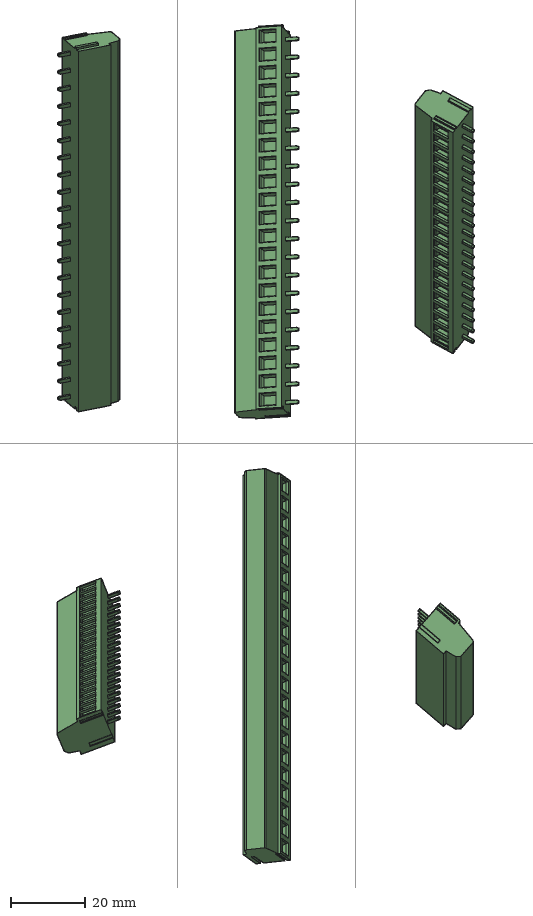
import cadquery as cq

total_length = 107.3
rib_height = 0.6
pole_count = 21
body_width = 10.0
body_depth = 13.7
pin_length = 3.5

body_length = total_length - rib_height
pitch = body_length / pole_count

left_shoulder_y = 6.5
left_ledge_y = 7.2
left_ledge_inset = 0.1
crown_left_foot_x = 0.9
crown_left_foot_y = 7.3
crown_left_top_x = 1.9
crown_right_top_x = 8.4
crown_right_foot_x = 8.9
right_shoulder_y = 9.8
left_chamfer = 0.3
right_chamfer = 1.0

rib_end_y = 6.7
groove_depth = 0.6
dovetail_center_x = 1.3
dovetail_neck_width = 0.6
dovetail_head_width = 1.3
dovetail_crest_height = 0.17
straight_rib_center_x = 8.3
straight_rib_width = 1.0

window_front_y = 1.6
window_back_y = 6.3
window_height = 3.6
window_depth = 0.6
funnel_back_y = 5.9
funnel_depth = 0.9
funnel_floor_front_y = 1.9
funnel_floor_back_y = 5.3
funnel_floor_height = 2.6

pin_center_x = 4.8
pin_width_x = 0.8
pin_width_z = 1.0
pin_tip_taper = 0.2
pin_tip_length = 0.5


def make_body():
    outline = [
        (0, 0),
        (body_width, 0),
        (body_width, right_shoulder_y),
        (crown_right_foot_x, right_shoulder_y),
        (crown_right_top_x, body_depth - right_chamfer),
        (crown_right_top_x - right_chamfer, body_depth),
        (crown_left_top_x + left_chamfer, body_depth),
        (crown_left_top_x, body_depth - left_chamfer),
        (crown_left_foot_x, crown_left_foot_y),
        (left_ledge_inset, left_ledge_y),
        (0, left_shoulder_y),
    ]
    return cq.Workplane("XY").polyline(outline).close().extrude(body_length)


def make_rail_pair(height):
    """Dovetail rail and straight rail along Y, rising from Z = 0 to the given height."""
    neck = dovetail_neck_width / 2
    head = dovetail_head_width / 2
    head_z = height - dovetail_crest_height
    dovetail_section = [
        (-neck, 0),
        (neck, 0),
        (head, head_z),
        (neck, height),
        (-neck, height),
        (-head, head_z),
    ]
    dovetail = (
        cq.Workplane("XZ", origin=(dovetail_center_x, 0, 0))
        .polyline(dovetail_section)
        .close()
        .extrude(-rib_end_y)
    )
    straight = cq.Workplane("XY").box(
        straight_rib_width, rib_end_y, height, centered=(True, False, False)
    )
    return dovetail.union(straight.translate((straight_rib_center_x, 0, 0)))


def make_wire_entry():
    """Cutter for one wire entry, centred on Z = 0."""
    window = cq.Workplane("XY").box(
        window_depth, window_back_y - window_front_y, window_height, centered=(False, False, True)
    )
    window = window.translate((0, window_front_y, 0))
    mouth_center_y = (window_front_y + funnel_back_y) / 2
    floor_center_y = (funnel_floor_front_y + funnel_floor_back_y) / 2
    funnel = (
        cq.Workplane("YZ", origin=(window_depth, mouth_center_y, 0))
        .rect(funnel_back_y - window_front_y, window_height)
        .workplane(offset=funnel_depth)
        .center(floor_center_y - mouth_center_y, 0)
        .rect(funnel_floor_back_y - funnel_floor_front_y, funnel_floor_height)
        .loft(ruled=True)
    )
    return window.union(funnel)


def make_pin():
    """Flat pin centred on Z = 0, its tip narrowing in Z only."""
    half_width = pin_width_z / 2
    tip_half_width = half_width - pin_tip_taper
    taper_start_y = pin_tip_length - pin_length
    side = [
        (0, -half_width),
        (0, half_width),
        (taper_start_y, half_width),
        (-pin_length, tip_half_width),
        (-pin_length, -tip_half_width),
        (taper_start_y, -half_width),
    ]
    start_x = pin_center_x - pin_width_x / 2
    return cq.Workplane("YZ", origin=(start_x, 0, 0)).polyline(side).close().extrude(pin_width_x)


result = make_body()
result = result.union(make_rail_pair(rib_height).translate((0, 0, body_length)))
result = result.cut(make_rail_pair(groove_depth))

wire_entry = make_wire_entry()
pin = make_pin()
for pole in range(pole_count):
    pole_z = (pole + 0.5) * pitch
    result = result.cut(wire_entry.translate((0, 0, pole_z)))
    result = result.union(pin.translate((0, 0, pole_z)))